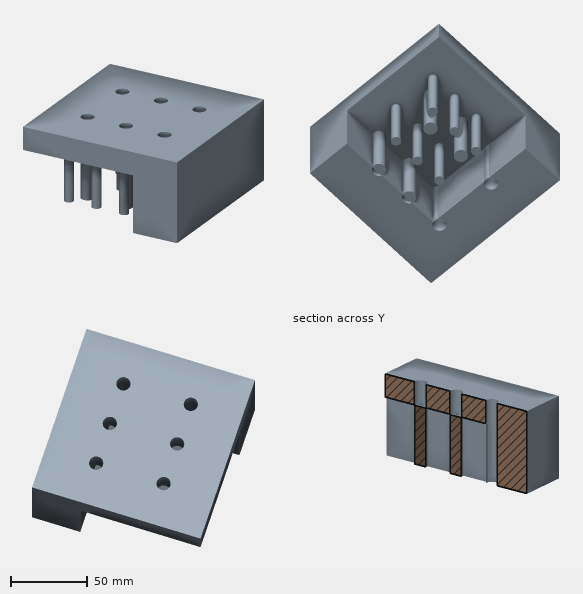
import cadquery as cq

SIZE = 116.0
HEIGHT = SIZE / 2
NOTCH_SHARE = 5 / 7
NOTCH_SIZE = NOTCH_SHARE * SIZE
NOTCH_HEIGHT = NOTCH_SHARE * HEIGHT

COLUMN_SHARES = (0.25, 0.5, 0.75)
ROW_SHARES = (0.3, 0.7)
DIAMETER_SHARE = 0.08

HOLE_DIAMETER = DIAMETER_SHARE * SIZE
LEG_DIAMETER = DIAMETER_SHARE * NOTCH_SIZE


def grid_points(side):
    """Return the centres of the 3 x 2 pattern on a square of the given side."""
    return [(x * side, y * side) for x in COLUMN_SHARES for y in ROW_SHARES]


def make_cylinders(points, diameter, height):
    """Upright cylinders standing on the bottom plane."""
    return cq.Workplane("XY").pushPoints(points).circle(diameter / 2).extrude(height)


def make_notch():
    """Volume of the open corner below the top slab."""
    return cq.Workplane("XY").box(NOTCH_SIZE, NOTCH_SIZE, NOTCH_HEIGHT, centered=False)


def make_housing():
    """Top slab on an L-shaped wall, with through holes and legs hanging in the notch."""
    block = cq.Workplane("XY").box(SIZE, SIZE, HEIGHT, centered=False)
    holes = make_cylinders(grid_points(SIZE), HOLE_DIAMETER, HEIGHT)
    legs = make_cylinders(grid_points(NOTCH_SIZE), LEG_DIAMETER, NOTCH_HEIGHT)
    return block.cut(make_notch()).cut(holes).union(legs)


def make_post(center):
    """Post under one hole, trimmed flat where it meets the walls of the notch."""
    return make_cylinders([center], HOLE_DIAMETER, NOTCH_HEIGHT).intersect(make_notch())


housing = make_housing()
posts = [make_post(center) for center in grid_points(SIZE)]

result = cq.Compound.makeCompound([housing.val(), *[post.val() for post in posts]])